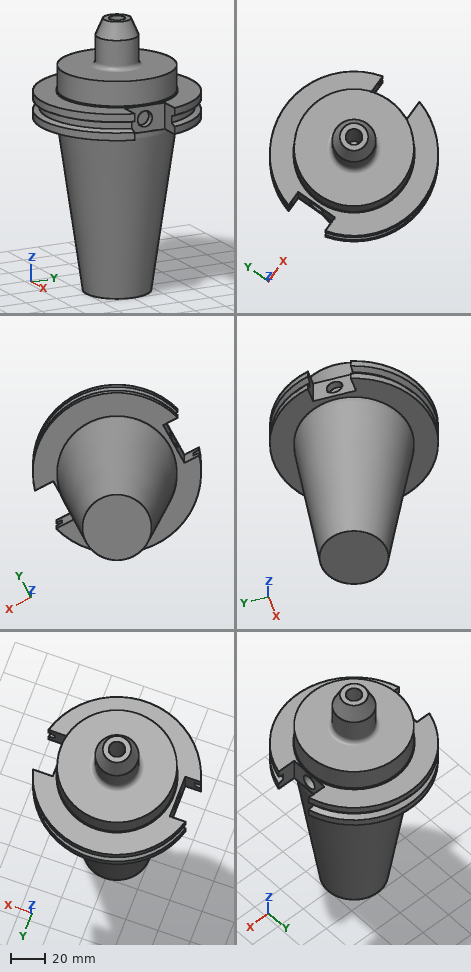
import cadquery as cq

total_height = 165.1
taper_height = 101.5
flange_bottom = 104.8
flange_thickness = 16.0
flange_top = flange_bottom + flange_thickness
flange_middle = flange_bottom + flange_thickness / 2
body_top = 136.7
nose_cone_height = 10.0

taper_small_radius = 20.1
taper_large_radius = 35.0
flange_radius = 49.2
body_radius = 35.0
collar_radius = 35.5
collar_height = 0.8
nose_radius = 12.7
nose_tip_radius = 8.3
nose_root_fillet = 3.0

groove_radius = 45.5
groove_floor_width = 4.0
groove_mouth_width = 6.8

slot_width = 26.3
left_slot_floor = 37.6
right_slot_floor = 35.2

hole_diameter = 9.5
nose_bore_depth = 33.0
slot_hole_depth = 4.5


def holder_body():
    """Revolve the taper, flange, body and nose as one solid."""
    cone_start = total_height - nose_cone_height
    floor_half = groove_floor_width / 2
    mouth_half = groove_mouth_width / 2
    body = (
        cq.Workplane("XZ")
        .moveTo(0, 0)
        .lineTo(taper_small_radius, 0)
        .lineTo(taper_large_radius, taper_height)
        .lineTo(taper_large_radius, flange_bottom)
        .lineTo(flange_radius, flange_bottom)
        .lineTo(flange_radius, flange_middle - mouth_half)
        .lineTo(groove_radius, flange_middle - floor_half)
        .lineTo(groove_radius, flange_middle + floor_half)
        .lineTo(flange_radius, flange_middle + mouth_half)
        .lineTo(flange_radius, flange_top)
        .lineTo(collar_radius, flange_top)
        .lineTo(collar_radius, flange_top + collar_height)
        .lineTo(body_radius, flange_top + collar_height)
        .lineTo(body_radius, body_top)
        .lineTo(nose_radius + nose_root_fillet, body_top)
        .radiusArc((nose_radius, body_top + nose_root_fillet), nose_root_fillet)
        .lineTo(nose_radius, cone_start)
        .lineTo(nose_tip_radius, total_height)
        .lineTo(0, total_height)
        .close()
        .revolve(360, (0, 0, 0), (0, 1, 0))
    )
    return body


def drive_slot(side, floor_distance):
    """Slot through the flange height with a blind hole in its floor; side is -1 or +1."""
    length = flange_radius
    slot = cq.Workplane("XY").box(length, slot_width, flange_thickness).translate(
        (side * (floor_distance + length / 2), 0, flange_middle)
    )
    hole = cq.Solid.makeCylinder(
        hole_diameter / 2,
        slot_hole_depth,
        cq.Vector(side * floor_distance, 0, flange_middle),
        cq.Vector(-side, 0, 0),
    )
    return slot.union(cq.Workplane(obj=hole))


def nose_bore():
    """Blind axial hole entering from the nose tip."""
    return (
        cq.Workplane("XY", origin=(0, 0, total_height - nose_bore_depth))
        .circle(hole_diameter / 2)
        .extrude(nose_bore_depth)
    )


result = holder_body().cut(nose_bore())
for side, floor_distance in ((-1, left_slot_floor), (1, right_slot_floor)):
    result = result.cut(drive_slot(side, floor_distance))